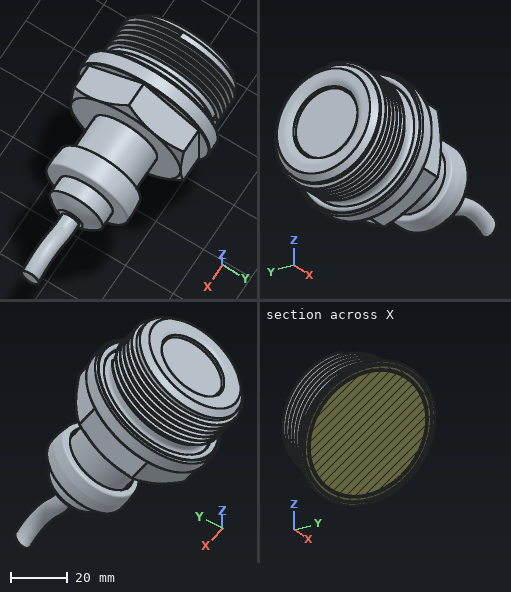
import cadquery as cq
import math


nose_face_diameter = 40.0
thread_root_diameter = 44.8
thread_crest_diameter = 47.6
thread_pitch = 2.31
thread_start = 3.7
thread_end = 17.0
nose_end = 18.2
thread_crest_width = 0.4
thread_flank_angle = 27.5
thread_embed = 0.2
neck_diameter = 43.9

flange_diameter = 55.0
flange_front = 21.6
flange_rear = 28.0
flange_front_chamfer = 0.7
flange_rear_chamfer = 0.3
seal_section_radius = 1.2
seal_ring_radius = 25.1
seal_centre = 22.4
groove_inner_radius = seal_ring_radius - seal_section_radius
groove_outer_radius = seal_ring_radius + seal_section_radius
groove_floor = seal_centre + seal_section_radius
neck_fillet = groove_inner_radius - neck_diameter / 2
neck_end = flange_front - 0.7

hex_across_flats = 46.2
hex_rear = 40.0
hex_face_diameter = 45.9
hex_chamfer_angle = 30
hex_across_corners = hex_across_flats / math.cos(math.radians(30))

barrel_diameter = 26.5
barrel_end = 61.8

mouth_diameter = 33.8
mouth_round_end_diameter = 29.6
mouth_cone_angle = 30
recess_diameter = 27.4
recess_depth = 4.1
diaphragm_diameter = 26.5
diaphragm_front = 2.1
mouth_round = (mouth_diameter - mouth_round_end_diameter) / 2 / math.sin(math.radians(mouth_cone_angle))

collar_front = 56.0
collar_rear = 65.9
collar_diameter = 34.5
collar_taper_end = 60.9
collar_taper_front_diameter = 33.4
collar_round = 0.9
collar_mouth_diameter = 27.7
collar_mouth_depth = 1.5

gland_diameter = 22.3
gland_shoulder = 72.6
gland_tip = 76.4
gland_tip_diameter = 10.3

cable_diameter = 7.2
cable_end = 103.0
cable_exit_height = -0.9
cable_bend_start = 79.3
cable_peak = 93.3
cable_peak_height = 2.4
cable_peak_radius = 20.1
cable_sweep_past_peak = 45


def revolved(profile):
    """Turn a closed profile, drawn as (X, radius), about the X axis."""
    return profile.close().revolve(360, (0, 0, 0), (1, 0, 0))


def disc(diameter, start, end):
    """Solid cylinder on the X axis."""
    return cq.Workplane("YZ").workplane(offset=start).circle(diameter / 2).extrude(end - start)


def thread_ridge():
    """Helical ridge with a flat crest that starts at +Z, its foot sunk slightly below the root."""
    root = thread_root_diameter / 2
    crest = thread_crest_diameter / 2
    foot = root - thread_embed
    crest_half = thread_crest_width / 2
    foot_half = crest_half + (crest - foot) * math.tan(math.radians(thread_flank_angle))
    helix = cq.Wire.makeHelix(thread_pitch, thread_end - thread_start, root)
    ridge = (
        cq.Workplane("XZ")
        .polyline([(foot, -foot_half), (crest, -crest_half), (crest, crest_half), (foot, foot_half)])
        .close()
        .sweep(cq.Workplane(helix), isFrenet=True)
    )
    along_x = ridge.rotate((0, 0, 0), (0, 1, 0), 90).rotate((0, 0, 0), (1, 0, 0), 180)
    return along_x.translate((thread_start, 0, 0))


def threaded_nose():
    """Nose with a conical front edge and a helical thread."""
    chamfer = (thread_root_diameter - nose_face_diameter) / 2
    core = disc(thread_root_diameter, 0, nose_end).faces("<X").chamfer(chamfer)
    return core.union(thread_ridge())


def neck_and_flange():
    """Neck that curves out into the front of the flange, with the groove for the seal."""
    neck = neck_diameter / 2
    rim = flange_diameter / 2
    return revolved(
        cq.Workplane("XY")
        .moveTo(nose_end, 0)
        .lineTo(nose_end, neck)
        .lineTo(neck_end, neck)
        .radiusArc((neck_end + neck_fillet, groove_inner_radius), -neck_fillet)
        .lineTo(groove_floor, groove_inner_radius)
        .lineTo(groove_floor, groove_outer_radius)
        .lineTo(flange_front, groove_outer_radius)
        .lineTo(flange_front, rim - flange_front_chamfer)
        .lineTo(flange_front + flange_front_chamfer, rim)
        .lineTo(flange_rear - flange_rear_chamfer, rim)
        .lineTo(flange_rear, rim - flange_rear_chamfer)
        .lineTo(flange_rear, 0)
    )


def hexagon():
    """Hexagon with two corners on the Z axis and its rear corners turned to a cone."""
    corner = hex_across_corners / 2
    prism = (
        cq.Workplane("YZ")
        .workplane(offset=flange_rear)
        .polygon(6, hex_across_corners)
        .extrude(hex_rear - flange_rear)
        .rotate((0, 0, 0), (1, 0, 0), 90)
    )
    cone_length = (corner - hex_face_diameter / 2) * math.tan(math.radians(hex_chamfer_angle))
    cone = revolved(
        cq.Workplane("XY")
        .moveTo(flange_rear, 0)
        .lineTo(flange_rear, corner)
        .lineTo(hex_rear - cone_length, corner)
        .lineTo(hex_rear, hex_face_diameter / 2)
        .lineTo(hex_rear, 0)
    )
    return prism.intersect(cone)


def mouth_cutter():
    """Rounded and conical mouth that leads down to the round recess of the diaphragm."""
    angle = math.radians(mouth_cone_angle)
    round_depth = mouth_round * (1 - math.cos(angle))
    cone_depth = (mouth_round_end_diameter - recess_diameter) / 2 * math.tan(angle)
    recess_start = round_depth + cone_depth
    return revolved(
        cq.Workplane("XY")
        .moveTo(0, 0)
        .lineTo(0, mouth_diameter / 2)
        .radiusArc((round_depth, mouth_round_end_diameter / 2), -mouth_round)
        .lineTo(recess_start, recess_diameter / 2)
        .lineTo(recess_depth, recess_diameter / 2)
        .lineTo(recess_depth, 0)
    )


def make_housing():
    """Threaded nose, flange, hexagon and barrel in one piece."""
    return (
        threaded_nose()
        .union(neck_and_flange())
        .union(hexagon())
        .union(disc(barrel_diameter, hex_rear, barrel_end))
        .cut(mouth_cutter())
    )


def make_seal():
    """Ring of round section that lies in the groove of the flange."""
    section = cq.Workplane("XY").center(seal_centre, seal_ring_radius).circle(seal_section_radius)
    return section.revolve(360, (0, -seal_ring_radius, 0), (1, -seal_ring_radius, 0))


def make_diaphragm():
    """Disc on the floor of the recess, with a narrow gap round it."""
    return disc(diaphragm_diameter, diaphragm_front, recess_depth)


def make_collar():
    """Collar with a tapered front, a wide mouth round the barrel and a rear wall round the gland."""
    blank = revolved(
        cq.Workplane("XY")
        .moveTo(collar_front, 0)
        .lineTo(collar_front, collar_taper_front_diameter / 2)
        .lineTo(collar_taper_end, collar_diameter / 2)
        .lineTo(collar_rear, collar_diameter / 2)
        .lineTo(collar_rear, 0)
    )
    return (
        blank.faces("<X or >X").edges().fillet(collar_round)
        .cut(disc(collar_mouth_diameter, collar_front, collar_front + collar_mouth_depth))
        .cut(disc(barrel_diameter, collar_front, barrel_end))
        .cut(disc(gland_diameter, barrel_end, collar_rear))
    )


def make_gland():
    """Round gland with a domed end, flat at its tip."""
    shoulder = gland_diameter / 2
    tip = gland_tip_diameter / 2
    dome_length = gland_tip - gland_shoulder
    shoulder_offset = (shoulder**2 - tip**2 - dome_length**2) / (2 * dome_length)
    dome_radius = math.hypot(shoulder_offset, shoulder)
    return revolved(
        cq.Workplane("XY")
        .moveTo(barrel_end, 0)
        .lineTo(barrel_end, shoulder)
        .lineTo(gland_shoulder, shoulder)
        .radiusArc((gland_tip, tip), dome_radius)
        .lineTo(gland_tip, 0)
    )


def make_cable():
    """Cable that leaves the gland straight and bends up, then down, to an end square to the X axis."""
    run = cable_peak - cable_bend_start
    rise = cable_peak_height - cable_exit_height
    steepest = 2 * math.atan(rise / run)
    first_radius = run / math.sin(steepest) - cable_peak_radius
    meeting = (
        cable_bend_start + first_radius * math.sin(steepest),
        cable_exit_height + first_radius * (1 - math.cos(steepest)),
    )
    sweep_past = math.radians(cable_sweep_past_peak)
    far_end = (
        cable_peak + cable_peak_radius * math.sin(sweep_past),
        cable_peak_height - cable_peak_radius * (1 - math.cos(sweep_past)),
    )
    path = (
        cq.Workplane("XZ")
        .moveTo(gland_tip, cable_exit_height)
        .lineTo(cable_bend_start, cable_exit_height)
        .tangentArcPoint(meeting, relative=False)
        .tangentArcPoint(far_end, relative=False)
    )
    section = cq.Workplane("YZ", origin=(gland_tip, 0, cable_exit_height)).circle(cable_diameter / 2)
    return section.sweep(path).cut(disc(2 * flange_diameter, cable_end, 2 * cable_end))


housing = make_housing()
seal = make_seal()
diaphragm = make_diaphragm()
collar = make_collar()
gland = make_gland()
cable = make_cable()

result = cq.Compound.makeCompound(
    [housing.val(), seal.val(), diaphragm.val(), collar.val(), gland.val(), cable.val()]
)